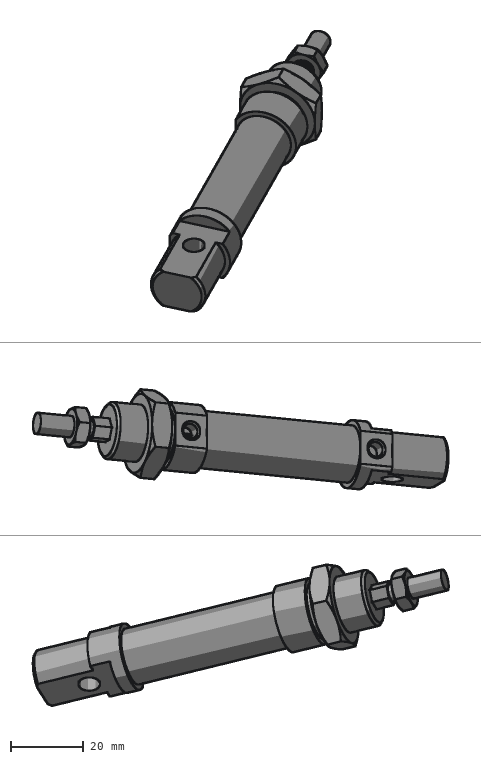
import cadquery as cq
import math

overall_length = 120.0

body_diameter = 16.0
housing_length = 99.0
end_chamfer = 0.8

collar_diameter = 19.0
collar_length = 9.5
rear_collar_start = 17.2
front_collar_start = 72.5
port_flat_offset = 8.25
port_thread_diameter = 4.2
port_mouth_diameter = 5.4
port_depth = 5.0
port_countersink = (port_mouth_diameter - port_thread_diameter) / 2

tail_thickness = 12.0
tail_flat_length = 23.0
pivot_diameter = 6.0
pivot_position = 14.0

shank_across_flats = 6.0
shank_start = front_collar_start
shank_end = housing_length + 5.0
relief_diameter = 4.9
thread_length = 14.6
thread_start = overall_length - thread_length
thread_diameter = 6.0

mounting_nut_across_flats = 22.0
mounting_nut_thickness = 6.0
mounting_nut_start = front_collar_start + collar_length + 2.0
lock_nut_across_flats = 10.0
lock_nut_thickness = 4.0
lock_nut_start = overall_length - 14.0
nut_chamfer_angle = 30.0


def plane_at(y):
    """Plane across the axis at y, facing +Y, with its local x along global +Z."""
    return cq.Plane(origin=(0, y, 0), xDir=(0, 0, 1), normal=(0, 1, 0))


def cylinder(diameter, start, length):
    return cq.Workplane(plane_at(start)).circle(diameter / 2).extrude(length)


def corner_diameter(across_flats):
    return across_flats / math.cos(math.radians(30))


def hexagon(across_flats, start, length, turn=0.0):
    """Hexagonal bar along +Y with corners on the Z axis, turned about the bar axis by turn degrees."""
    bar = cq.Workplane(plane_at(start)).polygon(6, corner_diameter(across_flats)).extrude(length)
    return bar.rotate((0, 0, 0), (0, 1, 0), turn)


def make_nut(across_flats, thickness, bore, start, turn=0.0):
    """Hexagon nut whose corners are bevelled down to the inscribed circle at both faces."""
    face_radius = across_flats / 2
    corner_radius = corner_diameter(across_flats) / 2
    bevel = (corner_radius - face_radius) * math.tan(math.radians(nut_chamfer_angle))
    end = start + thickness
    envelope = (
        cq.Workplane("XY")
        .moveTo(0, start)
        .lineTo(face_radius, start)
        .lineTo(corner_radius, start + bevel)
        .lineTo(corner_radius, end - bevel)
        .lineTo(face_radius, end)
        .lineTo(0, end)
        .close()
        .revolve(360, (0, 0, 0), (0, 1, 0))
    )
    blank = hexagon(across_flats, start, thickness, turn).intersect(envelope)
    return blank.cut(cylinder(bore, start, thickness))


def make_shank():
    """Hexagonal shank with flats facing +Z and -Z and corners on the X axis."""
    return hexagon(shank_across_flats, shank_start, shank_end - shank_start, turn=30.0)


def make_collar(start):
    """Round collar with a port flat on its -X side."""
    collar = cylinder(collar_diameter, start, collar_length)
    keep = cq.Workplane("XY").box(
        port_flat_offset + collar_diameter, collar_length, collar_diameter, centered=(False, False, True)
    )
    return collar.intersect(keep.translate((-port_flat_offset, start, 0)))


def make_port(start):
    """Countersunk blind port hole in the middle of a collar's flat."""
    mouth = cq.Plane(
        origin=(-port_flat_offset, start + collar_length / 2, 0), xDir=(0, 1, 0), normal=(1, 0, 0)
    )
    bore = cq.Workplane(mouth).circle(port_thread_diameter / 2).extrude(port_depth)
    countersink = cq.Solid.makeCone(
        port_mouth_diameter / 2, port_thread_diameter / 2, port_countersink, mouth.origin, mouth.zDir
    )
    return bore.union(cq.Workplane(countersink))


def make_housing():
    housing = cylinder(body_diameter, 0, housing_length)
    housing = housing.faces("<Y or >Y").chamfer(end_chamfer)
    collar_starts = (rear_collar_start, front_collar_start)
    for start in collar_starts:
        housing = housing.union(make_collar(start))

    for side in (-1, 1):
        waste = cq.Workplane("XY").box(
            collar_diameter, tail_flat_length, collar_diameter, centered=(True, False, True)
        )
        waste_height = side * (tail_thickness + collar_diameter) / 2
        housing = housing.cut(waste.translate((0, 0, waste_height)))

    pivot_hole = cq.Workplane("XY").center(0, pivot_position).circle(pivot_diameter / 2)
    housing = housing.cut(pivot_hole.extrude(tail_thickness, both=True))
    for start in collar_starts:
        housing = housing.cut(make_port(start))
    return housing.cut(make_shank())


def make_rod():
    relief = cylinder(relief_diameter, shank_end, thread_start - shank_end)
    thread = cylinder(thread_diameter, thread_start, thread_length)
    return make_shank().union(relief).union(thread)


housing = make_housing()
rod = make_rod()
mounting_nut = make_nut(
    mounting_nut_across_flats, mounting_nut_thickness, body_diameter, mounting_nut_start
)
lock_nut = make_nut(
    lock_nut_across_flats, lock_nut_thickness, thread_diameter, lock_nut_start, turn=30.0
)

result = cq.Compound.makeCompound([housing.val(), rod.val(), mounting_nut.val(), lock_nut.val()])